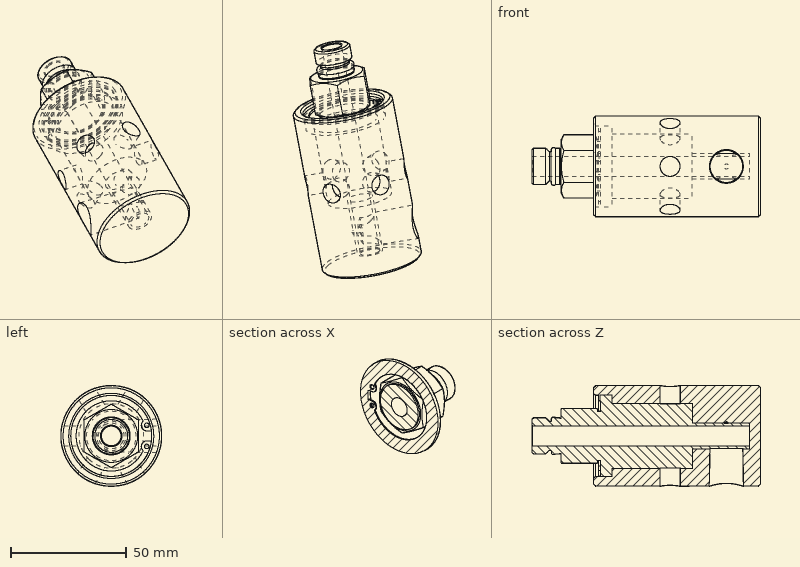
import cadquery as cq
import math

LENGTH = 99.2

HOUSING_DIA = 43.7
HOUSING_FRONT = 26.7
HOUSING_CHAMFER = 1.0

RECESS_DIA = 35.1
RECESS_MOUTH_DIA = 36.9
RECESS_MOUTH_DEPTH = (RECESS_MOUTH_DIA - RECESS_DIA) / 2
RING_DEPTH = 2.2
RING_THICKNESS = 0.9

RING_INNER_DIA = 30.5
EAR_RADIUS = 2.4
EAR_OFFSET_Y = 15.4
EAR_OFFSET_Z = 4.6
EAR_HOLE_DIA = 2.0

RADIAL_HOLE_DIA = 8.6
RADIAL_HOLE_X = 59.9
RADIAL_HOLE_COUNT = 6

PORT_X = 84.3
PORT_MOUTH_DIA = 14.7
PORT_DIA = 13.9
PORT_DEPTH = 23.8
DRILL_POINT_ANGLE = 118.0

NOSE_DIA = 15.9
NOSE_CHAMFER = 0.8
NOSE_END = 6.1
GROOVE_DIA = 12.8
GROOVE_END = 8.4
BEAD_RADIUS = 1.1
BEAD_TOP_DIA = 16.5
NECK_TAPER_START = 12.0
NECK_TAPER_END = 12.3
NECK_END_DIA = 15.5
NOSE_BORE_DIA = 8.5
NOSE_BORE_CHAMFER = 0.4

HEX_SIDES = 6
HEX_FRONT = 12.6
HEX_BACK = 28.6
HEX_ACROSS_FLATS = 23.8
HEX_FACE_DIA = 22.9
HEX_CHAMFER_ANGLE = 30.0

COLLAR_DIA = 21.4
FLANGE_THICKNESS = 5.0
JOURNAL_DIA = 28.0
JOURNAL_END = 69.4
TUBE_DIA = 11.1
TUBE_END = 94.2

RING_FRONT = HOUSING_FRONT + RING_DEPTH
FLANGE_FRONT = RING_FRONT + RING_THICKNESS
FLANGE_BACK = FLANGE_FRONT + FLANGE_THICKNESS


def cylinder_x(diameter, start, end):
    """Solid cylinder on the X axis."""
    return cq.Workplane("YZ", origin=(start, 0, 0)).circle(diameter / 2).extrude(end - start)


def cone_x(start_dia, end_dia, start, end):
    """Solid truncated cone on the X axis."""
    solid = cq.Solid.makeCone(
        start_dia / 2, end_dia / 2, end - start, cq.Vector(start, 0, 0), cq.Vector(1, 0, 0)
    )
    return cq.Workplane(obj=solid)


def inner_stack():
    """Flange, journal and tube of the rotor, which is also the shape of the cavity that holds them."""
    flange = cylinder_x(RECESS_DIA, FLANGE_FRONT, FLANGE_BACK)
    journal = cylinder_x(JOURNAL_DIA, FLANGE_BACK, JOURNAL_END)
    tube = cylinder_x(TUBE_DIA, JOURNAL_END, TUBE_END)
    return flange.union(journal).union(tube)


def retaining_ring():
    """Open ring with two drilled ears on the -Y side."""
    plane = cq.Workplane("YZ", origin=(RING_FRONT, 0, 0))
    ear_centers = [(-EAR_OFFSET_Y, side * EAR_OFFSET_Z) for side in (1, -1)]
    disc = plane.circle(RECESS_DIA / 2).extrude(RING_THICKNESS)
    band = disc.cut(plane.circle(RING_INNER_DIA / 2).extrude(RING_THICKNESS))
    ears = plane.pushPoints(ear_centers).circle(EAR_RADIUS).extrude(RING_THICKNESS)
    gap_width = 2 * (EAR_OFFSET_Z - EAR_RADIUS)
    gap = plane.center(-RECESS_DIA / 2, 0).rect(RECESS_DIA, gap_width).extrude(RING_THICKNESS)
    ear_holes = plane.pushPoints(ear_centers).circle(EAR_HOLE_DIA / 2).extrude(RING_THICKNESS)
    return band.union(ears.intersect(disc)).cut(gap).cut(ear_holes)


def radial_hole(index):
    """Cutter that runs from the axis outward; the first one points along -Y."""
    hole = cq.Workplane("XZ").center(RADIAL_HOLE_X, 0).circle(RADIAL_HOLE_DIA / 2).extrude(HOUSING_DIA)
    return hole.rotate((0, 0, 0), (1, 0, 0), index * 360 / RADIAL_HOLE_COUNT)


def port_cutter():
    """Tapered port from the -Y side to just past the axis, ending in a drill point."""
    mouth_y = -HOUSING_DIA / 2
    floor_y = mouth_y + PORT_DEPTH
    point_depth = PORT_DIA / 2 / math.tan(math.radians(DRILL_POINT_ANGLE / 2))
    profile = [
        (PORT_X, mouth_y),
        (PORT_X + PORT_MOUTH_DIA / 2, mouth_y),
        (PORT_X + PORT_DIA / 2, floor_y),
        (PORT_X, floor_y + point_depth),
    ]
    return cq.Workplane("XY").polyline(profile).close().revolve(360, (PORT_X, 0), (PORT_X, 1))


def build_housing():
    """Shell with its cavity, holes and port, joined to the retaining ring."""
    housing = cylinder_x(HOUSING_DIA, HOUSING_FRONT, LENGTH).edges().chamfer(HOUSING_CHAMFER)
    mouth_back = HOUSING_FRONT + RECESS_MOUTH_DEPTH
    housing = housing.cut(cone_x(RECESS_MOUTH_DIA, RECESS_DIA, HOUSING_FRONT, mouth_back))
    housing = housing.cut(cylinder_x(RECESS_DIA, HOUSING_FRONT, FLANGE_FRONT))
    housing = housing.cut(inner_stack()).union(retaining_ring())
    for index in range(RADIAL_HOLE_COUNT):
        housing = housing.cut(radial_hole(index))
    return housing.cut(port_cutter())


def rotor_nose():
    """Turned nose with its groove, rounded bead and tapered neck."""
    nose_radius = NOSE_DIA / 2
    groove_radius = GROOVE_DIA / 2
    groove_start = NOSE_END + nose_radius - groove_radius
    bead_x = GROOVE_END + BEAD_RADIUS
    bead_top = BEAD_TOP_DIA / 2
    bead_center = bead_top - BEAD_RADIUS
    bead_end = bead_x + math.sqrt(BEAD_RADIUS**2 - (nose_radius - bead_center) ** 2)
    return (
        cq.Workplane("XY")
        .moveTo(0, 0)
        .lineTo(0, nose_radius - NOSE_CHAMFER)
        .lineTo(NOSE_CHAMFER, nose_radius)
        .lineTo(NOSE_END, nose_radius)
        .lineTo(groove_start, groove_radius)
        .lineTo(GROOVE_END, groove_radius)
        .lineTo(GROOVE_END, bead_center)
        .threePointArc((bead_x, bead_top), (bead_end, nose_radius))
        .lineTo(NECK_TAPER_START, nose_radius)
        .lineTo(NECK_TAPER_END, NECK_END_DIA / 2)
        .lineTo(HEX_FRONT, NECK_END_DIA / 2)
        .lineTo(HEX_FRONT, 0)
        .close()
        .revolve(360, (0, 0), (1, 0))
    )


def rotor_hexagon():
    """Hexagon whose corners are turned off by a cone at both ends."""
    corner_dia = HEX_ACROSS_FLATS / math.cos(math.pi / HEX_SIDES)
    hexagon = (
        cq.Workplane("YZ", origin=(HEX_FRONT, 0, 0))
        .polygon(HEX_SIDES, corner_dia)
        .extrude(HEX_BACK - HEX_FRONT)
        .rotate((0, 0, 0), (1, 0, 0), 90)
    )
    cone_length = (corner_dia - HEX_FACE_DIA) / 2 * math.tan(math.radians(HEX_CHAMFER_ANGLE))
    front_cone_end = HEX_FRONT + cone_length
    back_cone_start = HEX_BACK - cone_length
    envelope = (
        cone_x(HEX_FACE_DIA, corner_dia, HEX_FRONT, front_cone_end)
        .union(cylinder_x(corner_dia, front_cone_end, back_cone_start))
        .union(cone_x(corner_dia, HEX_FACE_DIA, back_cone_start, HEX_BACK))
    )
    return hexagon.intersect(envelope)


def build_rotor():
    """Hollow rotor: nose, hexagon, collar, flange, journal and tube in one piece."""
    collar = cylinder_x(COLLAR_DIA, HEX_BACK, FLANGE_FRONT)
    rotor = inner_stack().union(collar).union(rotor_hexagon()).union(rotor_nose())
    nose_bore_mouth_dia = NOSE_BORE_DIA + 2 * NOSE_BORE_CHAMFER
    rotor = rotor.cut(cylinder_x(NOSE_BORE_DIA, 0, TUBE_END))
    return rotor.cut(cone_x(nose_bore_mouth_dia, NOSE_BORE_DIA, 0, NOSE_BORE_CHAMFER))


housing = build_housing()
rotor = build_rotor()
result = cq.Compound.makeCompound([housing.solids().val(), rotor.solids().val()])